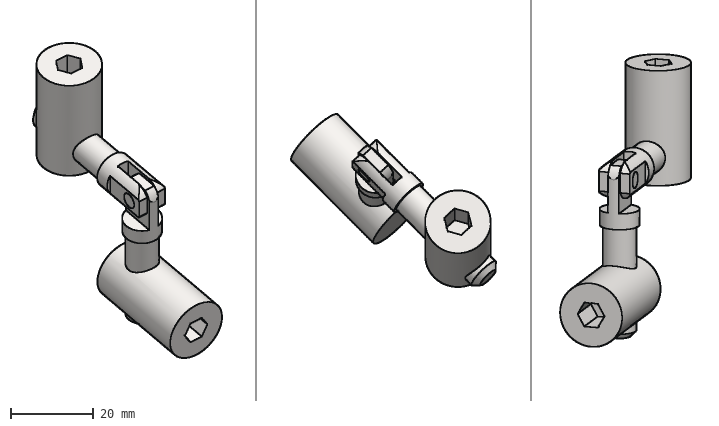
import cadquery as cq


sleeve_diameter = 16.0
sleeve_length = 29.0
sleeve_distance = 29.0
fork_sleeve_back = 7.0
tongue_sleeve_back = 7.5
hex_across_flats = 6.0
hex_depth = 10.0
hex_turn = 30.0

rod_diameter = 8.3
rod_end = 39.6
rod_chamfer = 1.5

head_diameter = 9.8
collar_length = 4.0
hinge_reach = 7.6
collar_end = hinge_reach + collar_length

fork_width = 8.0
fork_slot = 3.1
fork_nose_radius = 4.7
fork_nose_reach = 4.0

tongue_thickness = 2.8
tongue_nose_radius = 5.0
tongue_nose_reach = 4.0

pin_diameter = 4.0
pin_length = fork_width


def y_cylinder(diameter, length):
    """Cylinder on the pivot axis, centred on the arm's middle plane."""
    return cq.Workplane("XZ").circle(diameter / 2).extrude(length / 2, both=True)


def z_block(bottom, top, thickness):
    """Block between two Z levels, wider than the head in X and limited in Y."""
    return (
        cq.Workplane("XY")
        .workplane(offset=bottom)
        .rect(2 * head_diameter, thickness)
        .extrude(top - bottom)
    )


def hinge_head(nose_radius, nose_reach, thickness):
    """Round bar with a full collar, then flat sides and a nose rounded about the pivot."""
    bar = (
        cq.Workplane("XY")
        .workplane(offset=-nose_reach)
        .circle(head_diameter / 2)
        .extrude(nose_reach + collar_end)
    )
    nose = y_cylinder(2 * nose_radius, thickness)
    flat_part = z_block(0, hinge_reach, thickness)
    collar_part = z_block(hinge_reach, collar_end, 2 * head_diameter)
    return bar.intersect(nose.union(flat_part).union(collar_part))


def fork_head():
    slot = z_block(-head_diameter, hinge_reach, fork_slot)
    return hinge_head(fork_nose_radius, fork_nose_reach, fork_width).cut(slot)


def tongue_head():
    return hinge_head(tongue_nose_radius, tongue_nose_reach, tongue_thickness)


def sleeve(back):
    """Solid sleeve with a hexagonal socket in its far end."""
    body = (
        cq.Workplane("YZ", origin=(-back, 0, sleeve_distance))
        .circle(sleeve_diameter / 2)
        .extrude(sleeve_length)
    )
    socket = (
        cq.Workplane("YZ", origin=(sleeve_length - back, 0, sleeve_distance))
        .transformed(rotate=(0, 0, hex_turn))
        .polygon(6, hex_across_flats, circumscribed=True)
        .extrude(-hex_depth)
    )
    return body.cut(socket)


def arm(head, sleeve_back):
    rod = (
        cq.Workplane("XY")
        .workplane(offset=collar_end)
        .circle(rod_diameter / 2)
        .extrude(rod_end - collar_end)
        .faces(">Z")
        .chamfer(rod_chamfer)
    )
    whole = head.union(rod).union(sleeve(sleeve_back))
    return whole.cut(y_cylinder(pin_diameter, pin_length))


def place(body, sleeve_direction, arm_direction):
    """Turn an arm from its own frame so it runs along the given directions."""
    frame = cq.Plane(origin=(0, 0, 0), xDir=sleeve_direction, normal=arm_direction)
    return body.solids().val().moved(cq.Location(frame))


fork_arm = place(arm(fork_head(), fork_sleeve_back), (0, 0, 1), (-1, 0, 0))

tongue_arm = place(arm(tongue_head(), tongue_sleeve_back), (1, 0, 0), (0, 0, -1))

pin = y_cylinder(pin_diameter, pin_length)

result = cq.Compound.makeCompound([fork_arm, tongue_arm, pin.val()])